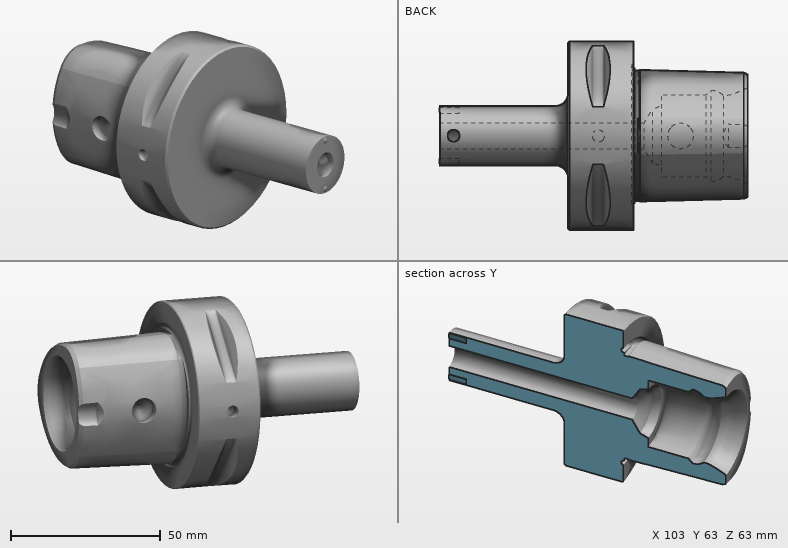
import cadquery as cq
import math


total_length = 103.0
pin_protrusion = 0.3
spigot_end = total_length - pin_protrusion
shank_end = 35.9
land_x = 37.7
flange_start = 38.0
flange_end = 60.0

lobe_reach = 23.4
flank_reach = 20.7
lobe_radius = 13.1
taper_inset = 0.9
tip_chamfer_length = 1.3
tip_chamfer_inset = 0.7
neck_inset = 0.2
neck_step_length = 0.3
neck_radius = 22.6
neck_slope_length = 0.8

flange_radius = 63.0 / 2
front_chamfer = 0.3
rear_chamfer = 0.6
relief_outer_radius = 24.2
relief_radius = (relief_outer_radius - neck_radius) / 2
grip_x = 50.0
grip_floor_distance = 28.0
grip_floor_width = 3.5
grip_top_width = 8.0
grip_floor_fillet = 0.4
grip_start_angle = 45.0
grip_count = 4

spigot_radius = 20.0 / 2
spigot_fillet = 4.0

bore_mouth_radius = 16.2
bore_mouth_depth = 1.4
bore_taper_start_radius = 15.5
bore_taper_end = 6.1
bore_taper_end_radius = 13.7
lip_start = 7.2
lip_radius = 13.5
lip_end = 8.2
chamber_radius = 15.2
chamber_arc_radius = 6.1
chamber_end = 12.5
inner_bore_radius = 13.7
bore_floor = 28.8
funnel_mouth_radius = 10.1
funnel_mouth_depth = 3.1
funnel_cone_radius = 9.1
through_radius = 8.5 / 2

key_radius = 11.0 / 2
key_floor_y = -18.0
key_length = 6.5
shank_hole_x = 22.6
shank_hole_diameter = 8.5
shank_hole_depth = 3.7
flange_hole_diameter = 4.0
flange_hole_depth = 4.1
drill_point_angle = 118.0
spigot_hole_x = 98.2
spigot_hole_diameter = 4.0

pin_radius = 2.0 / 2
pin_offset = 8.5
pin_length = 6.2


def revolve_about_x(outline):
    """Turn a closed (x, radius) outline into a solid of revolution about X."""
    return outline.close().revolve(360, (0, 0, 0), (1, 0, 0))


def polar(radius, angle):
    return (radius * math.cos(math.radians(angle)), radius * math.sin(math.radians(angle)))


def drill_point_length(radius):
    return radius / math.tan(math.radians(drill_point_angle / 2))


def lobed_wire(x, inset):
    """Three lobe arcs tangent to three flank arcs, moved inward by inset; one lobe points to +Y."""
    reach_difference = flank_reach - lobe_radius
    lobe_center = lobe_reach - lobe_radius
    flank_center = (reach_difference**2 - lobe_center**2) / (lobe_center - 2 * reach_difference)
    flank_radius = flank_reach + flank_center
    lobe_y, lobe_z = polar(lobe_center, 0)
    flank_y, flank_z = polar(flank_center, -120)
    direction = math.degrees(math.atan2(lobe_z - flank_z, lobe_y - flank_y))
    joint_y = flank_y + polar(flank_radius - inset, direction)[0]
    joint_z = flank_z + polar(flank_radius - inset, direction)[1]
    joint_distance = math.hypot(joint_y, joint_z)
    joint_angle = math.degrees(math.atan2(joint_z, joint_y))

    outline = cq.Workplane("YZ", origin=(x, 0, 0)).moveTo(*polar(joint_distance, -joint_angle))
    for lobe_angle in (0, 120, 240):
        outline = outline.threePointArc(
            polar(lobe_reach - inset, lobe_angle), polar(joint_distance, lobe_angle + joint_angle)
        )
        outline = outline.threePointArc(
            polar(flank_reach - inset, lobe_angle + 60),
            polar(joint_distance, lobe_angle + 120 - joint_angle),
        )
    return outline.wire().val()


def lobed_frustum(start, start_inset, end, end_inset):
    wires = [lobed_wire(start, start_inset), lobed_wire(end, end_inset)]
    return cq.Workplane(cq.Solid.makeLoft(wires, True))


def make_shank():
    tip = lobed_frustum(0, taper_inset + tip_chamfer_inset, tip_chamfer_length, taper_inset)
    taper = lobed_frustum(tip_chamfer_length, taper_inset, shank_end, 0)
    step_end = shank_end + neck_step_length
    step = lobed_frustum(shank_end, 0, step_end, neck_inset)
    neck = step.union(lobed_frustum(step_end, neck_inset, flange_start, neck_inset))
    neck_limit = revolve_about_x(
        cq.Workplane("XY")
        .moveTo(shank_end, 0)
        .lineTo(shank_end, lobe_reach)
        .lineTo(shank_end + neck_slope_length, neck_radius)
        .lineTo(flange_start, neck_radius)
        .lineTo(flange_start, 0)
    )
    return tip.union(taper).union(neck.intersect(neck_limit))


def make_flange_and_spigot():
    relief_middle = (neck_radius + relief_outer_radius) / 2
    return revolve_about_x(
        cq.Workplane("XY")
        .moveTo(land_x, 0)
        .lineTo(land_x, neck_radius)
        .lineTo(flange_start, neck_radius)
        .threePointArc((flange_start + relief_radius, relief_middle), (flange_start, relief_outer_radius))
        .lineTo(flange_start, flange_radius - front_chamfer)
        .lineTo(flange_start + front_chamfer, flange_radius)
        .lineTo(flange_end - rear_chamfer, flange_radius)
        .lineTo(flange_end, flange_radius - rear_chamfer)
        .lineTo(flange_end, spigot_radius + spigot_fillet)
        .radiusArc((flange_end + spigot_fillet, spigot_radius), -spigot_fillet)
        .lineTo(spigot_end, spigot_radius)
        .lineTo(spigot_end, 0)
    )


def make_bore():
    """The stepped bore: tapered mouth, lip, wider chamber, plain bore, funnel and through hole."""
    funnel_start = bore_floor + funnel_mouth_depth
    funnel_end = funnel_start + drill_point_length(funnel_cone_radius - through_radius)
    return revolve_about_x(
        cq.Workplane("XY")
        .lineTo(0, bore_mouth_radius)
        .lineTo(bore_mouth_depth, bore_taper_start_radius)
        .lineTo(bore_taper_end, bore_taper_end_radius)
        .lineTo(lip_start, lip_radius)
        .lineTo(lip_end, lip_radius)
        .radiusArc((chamber_end, chamber_radius), chamber_arc_radius)
        .lineTo(chamber_end + chamber_radius - inner_bore_radius, inner_bore_radius)
        .lineTo(bore_floor, inner_bore_radius)
        .lineTo(bore_floor, funnel_mouth_radius)
        .lineTo(funnel_start, funnel_cone_radius)
        .lineTo(funnel_end, through_radius)
        .lineTo(spigot_end, through_radius)
        .lineTo(spigot_end, 0)
    )


def make_grip_slot(angle):
    """A groove with a flat floor and sloping sides, cut across the flange rim."""
    depth = flange_radius - grip_floor_distance
    slope = (grip_top_width - grip_floor_width) / 2 / depth
    cutter_half_width = grip_top_width / 2 + slope * depth
    slot = (
        cq.Workplane("XZ")
        .moveTo(grip_x - grip_floor_width / 2, grip_floor_distance)
        .lineTo(grip_x + grip_floor_width / 2, grip_floor_distance)
        .lineTo(grip_x + cutter_half_width, flange_radius + depth)
        .lineTo(grip_x - cutter_half_width, flange_radius + depth)
        .close()
        .extrude(flange_radius, both=True)
        .faces("<Z")
        .edges("|Y")
        .fillet(grip_floor_fillet)
    )
    return slot.rotate((0, 0, 0), (1, 0, 0), angle)


def make_key_groove():
    """A round-bottomed groove along X at the -Y side, ending in a 90 degree cone."""
    axis_y = key_floor_y - key_radius
    return (
        cq.Workplane("XY")
        .moveTo(0, axis_y)
        .lineTo(0, key_floor_y)
        .lineTo(key_length, key_floor_y)
        .lineTo(key_length + key_radius, axis_y)
        .close()
        .revolve(360, (0, axis_y, 0), (1, axis_y, 0))
    )


def make_drilled_hole(x, surface_y, diameter, depth):
    """A blind hole with a drill point, drilled toward +Y from a surface on the -Y side."""
    radius = diameter / 2
    return (
        cq.Workplane("XY")
        .moveTo(x, surface_y - radius)
        .lineTo(x + radius, surface_y - radius)
        .lineTo(x + radius, surface_y + depth)
        .lineTo(x, surface_y + depth + drill_point_length(radius))
        .close()
        .revolve(360, (x, 0, 0), (x, 1, 0))
    )


def make_spigot_hole():
    """A round hole from the +Y side of the spigot into the through hole."""
    return (
        cq.Workplane("XZ", origin=(spigot_hole_x, 0, 0))
        .circle(spigot_hole_diameter / 2)
        .extrude(-2 * spigot_radius)
    )


def make_pin(z):
    """A pin along X whose domed end stands out of the spigot's end face."""
    dome_radius = (pin_radius**2 + pin_protrusion**2) / (2 * pin_protrusion)
    pin = revolve_about_x(
        cq.Workplane("XY")
        .moveTo(spigot_end - pin_length, 0)
        .lineTo(spigot_end - pin_length, pin_radius)
        .lineTo(spigot_end, pin_radius)
        .radiusArc((total_length, 0), dome_radius)
    )
    return pin.translate((0, 0, z))


pins = [make_pin(z) for z in (-pin_offset, pin_offset)]

adapter = make_shank().union(make_flange_and_spigot()).cut(make_bore())
for slot_number in range(grip_count):
    adapter = adapter.cut(make_grip_slot(grip_start_angle + slot_number * 360 / grip_count))
adapter = adapter.cut(make_key_groove())
shank_surface_y = -flank_reach + taper_inset * (shank_end - shank_hole_x) / (shank_end - tip_chamfer_length)
adapter = adapter.cut(
    make_drilled_hole(shank_hole_x, shank_surface_y, shank_hole_diameter, shank_hole_depth)
)
adapter = adapter.cut(
    make_drilled_hole(grip_x, -flange_radius, flange_hole_diameter, flange_hole_depth)
)
adapter = adapter.cut(make_spigot_hole())
for pin in pins:
    adapter = adapter.cut(pin)

result = cq.Compound.makeCompound([adapter.val(), *[pin.val() for pin in pins]])